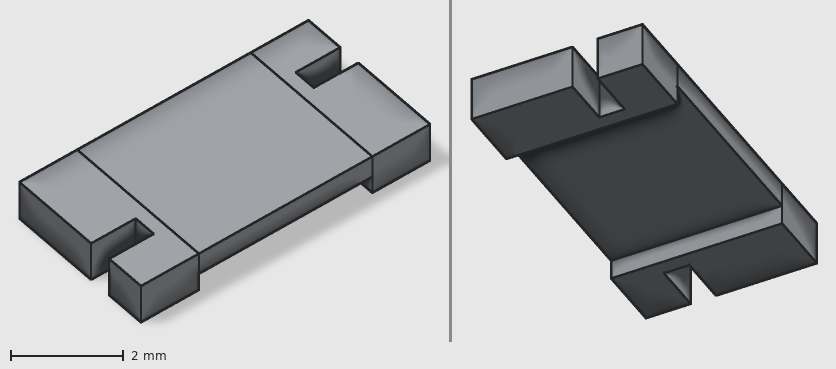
import cadquery as cq

LENGTH = 6.6
WIDTH = 3.43
HEIGHT = 0.89

TERMINAL_LENGTH = 1.32
STRIP_THICKNESS = 0.495
STRIP_LENGTH = LENGTH - 2 * TERMINAL_LENGTH

SLOT_WIDTH = 0.51
SLOT_DEPTH = 1.015
SLOT_EDGE_DISTANCE = 0.9

TERMINAL_COUNT = 2
TERMINAL_ANGLE_STEP = 360 / TERMINAL_COUNT

UPRIGHT = (True, True, False)


def make_strip():
    """Flat strip joining the terminals, flush with their top faces."""
    strip = cq.Workplane("XY").box(WIDTH, STRIP_LENGTH, STRIP_THICKNESS, centered=UPRIGHT)
    return strip.translate((0, 0, HEIGHT - STRIP_THICKNESS))


def make_terminal(angle):
    """Slotted end block, built at the -Y end and turned about Z by the angle."""
    block_y = -(LENGTH - TERMINAL_LENGTH) / 2
    block = cq.Workplane("XY").box(WIDTH, TERMINAL_LENGTH, HEIGHT, centered=UPRIGHT)
    block = block.translate((0, block_y, 0))

    slot_x = WIDTH / 2 - SLOT_EDGE_DISTANCE - SLOT_WIDTH / 2
    slot_y = -(LENGTH - SLOT_DEPTH) / 2
    slot = cq.Workplane("XY").box(SLOT_WIDTH, SLOT_DEPTH, HEIGHT, centered=UPRIGHT)
    slot = slot.translate((slot_x, slot_y, 0))

    return block.cut(slot).rotate((0, 0, 0), (0, 0, 1), angle)


strip = make_strip()
terminals = [make_terminal(index * TERMINAL_ANGLE_STEP) for index in range(TERMINAL_COUNT)]

result = cq.Compound.makeCompound([strip.val(), *[terminal.val() for terminal in terminals]])